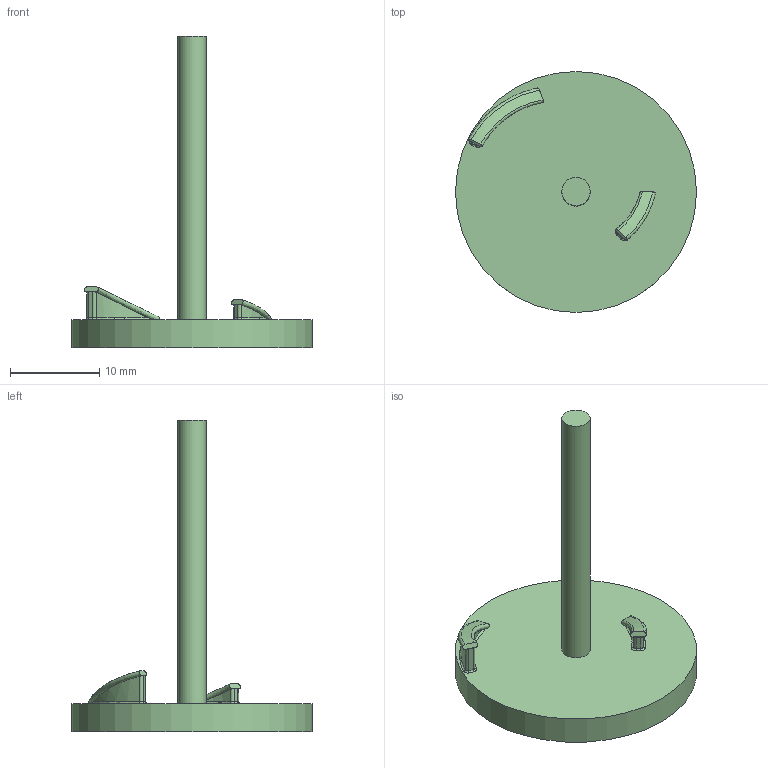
import math

import cadquery as cq

PLATE_RADIUS = 13.5
PLATE_THICKNESS = 3.175
ROD_DIAMETER = 3.175
TOTAL_HEIGHT = 34.925

RAIL_WIDTH = 1.75
RAIL_THICKNESS = 0.6
WEB_WIDTH = 1.15
WEB_EDGE_RADIUS = 0.3
WEB_OVERHANG = 0.2
WEB_CAP_DEPTH = 0.24
WEB_FOOT_RADIUS = 0.19

OUTER_RAMP = {
    "center": (-2.05, 0.55),
    "radius": 10.46,
    "low_angle": 100.8,
    "high_angle": 151.8,
    "rise": 3.38,
    "slope_axis": (-1, 0),
}
INNER_RAMP = {
    "center": (-0.1, 1.7),
    "radius": 8.31,
    "low_angle": -12.5,
    "high_angle": -51.5,
    "rise": 1.93,
    "slope_axis": (0, -1),
}
RAMPS = (OUTER_RAMP, INNER_RAMP)
RAIL_SPANS = 6


def plan_point(ramp, fraction, offset=0):
    """Plan point from the low end (0) to the high end (1), moved away from the rod axis by `offset`."""
    angle = math.radians(ramp["low_angle"] + fraction * (ramp["high_angle"] - ramp["low_angle"]))
    x = ramp["center"][0] + ramp["radius"] * math.cos(angle)
    y = ramp["center"][1] + ramp["radius"] * math.sin(angle)
    stretch = 1 + offset / math.hypot(x, y)
    return x * stretch, y * stretch


def along_slope(ramp, point):
    """Distance of a plan point along the ramp's slope axis."""
    return point[0] * ramp["slope_axis"][0] + point[1] * ramp["slope_axis"][1]


def slope_limits(ramp):
    """Distances along the slope axis of the low and high ends."""
    return along_slope(ramp, plan_point(ramp, 0)), along_slope(ramp, plan_point(ramp, 1))


def path_point(ramp, fraction):
    """Point on the sloped path, from the low end (0) to the high end (1)."""
    x, y = plan_point(ramp, fraction)
    low, high = slope_limits(ramp)
    height = ramp["rise"] * (along_slope(ramp, (x, y)) - low) / (high - low)
    return cq.Vector(x, y, PLATE_THICKNESS + height)


def rail_section(ramp, fraction):
    """Round-sided rail outline, level along the radius from the rod axis and leaning with the slope."""
    center = path_point(ramp, fraction)
    radial = cq.Vector(center.x, center.y, 0).normalized()
    low, high = slope_limits(ramp)
    turn = math.copysign(1, ramp["high_angle"] - ramp["low_angle"])
    uphill = cq.Vector(0, 0, turn).cross(radial) + cq.Vector(0, 0, ramp["rise"] / (high - low))
    plane = cq.Plane(origin=center, xDir=radial, normal=uphill)
    outline = cq.Workplane(plane).slot2D(RAIL_WIDTH, RAIL_THICKNESS)
    return outline.ctx.pendingWires[0]


def make_rail(ramp):
    """Rounded rail blended through sections along the sloped path."""
    sections = [rail_section(ramp, i / RAIL_SPANS) for i in range(RAIL_SPANS + 1)]
    return cq.Workplane(obj=cq.Solid.makeLoft(sections))


def make_web_blank(ramp):
    """Curved upright wall of constant height with rounded upright edges."""
    half = WEB_WIDTH / 2
    arc_length = ramp["radius"] * math.radians(abs(ramp["high_angle"] - ramp["low_angle"]))
    end = 1 + WEB_OVERHANG / arc_length
    return (
        cq.Workplane("XY", origin=(0, 0, PLATE_THICKNESS))
        .moveTo(*plan_point(ramp, 0, half))
        .threePointArc(plan_point(ramp, end / 2, half), plan_point(ramp, end, half))
        .lineTo(*plan_point(ramp, end, -half))
        .threePointArc(plan_point(ramp, end / 2, -half), plan_point(ramp, 0, -half))
        .close()
        .extrude(2 * ramp["rise"])
        .edges("|Z")
        .fillet(WEB_EDGE_RADIUS)
    )


def make_space_under_path(ramp):
    """Space above the plate, below the sloped plane of the path and the level cap of the web."""
    low, high = slope_limits(ramp)
    cap_height = ramp["rise"] - WEB_CAP_DEPTH
    cap_start = low + (high - low) * cap_height / ramp["rise"]
    reach = 2 * PLATE_RADIUS
    slope_axis = cq.Vector(*ramp["slope_axis"], 0)
    side_plane = cq.Plane(
        origin=(0, 0, PLATE_THICKNESS),
        xDir=slope_axis,
        normal=slope_axis.cross(cq.Vector(0, 0, 1)),
    )
    return (
        cq.Workplane(side_plane)
        .polyline([(low, 0), (reach, 0), (reach, cap_height), (cap_start, cap_height)])
        .close()
        .extrude(reach, both=True)
    )


def make_web(ramp, plate):
    """Upright wall with a rounded foot, cut off along the rail."""
    plate_level = cq.selectors.BoxSelector(
        (-PLATE_RADIUS, -PLATE_RADIUS, PLATE_THICKNESS - WEB_FOOT_RADIUS),
        (PLATE_RADIUS, PLATE_RADIUS, PLATE_THICKNESS + WEB_FOOT_RADIUS),
    )
    rim = cq.selectors.RadiusNthSelector(-1)
    foot_edges = plate.union(make_web_blank(ramp)).edges(plate_level - rim)
    return foot_edges.fillet(WEB_FOOT_RADIUS).intersect(make_space_under_path(ramp))


plate = cq.Workplane("XY").circle(PLATE_RADIUS).extrude(PLATE_THICKNESS)
rod = cq.Workplane("XY").circle(ROD_DIAMETER / 2).extrude(TOTAL_HEIGHT)

result = plate.union(rod)
for ramp in RAMPS:
    result = result.union(make_web(ramp, plate)).union(make_rail(ramp))